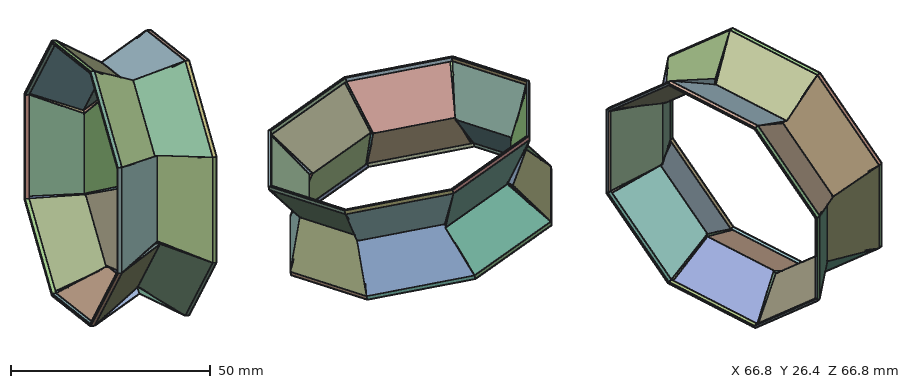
import cadquery as cq
import math

sides = 8
across_flats = 66.8
width = 26.4
rim_width = 1.1
wall = 0.6

waist_apothem = 26.4
waist_start = -13.55
waist_inner_end = 9.4
waist_outer_end = 8.9

rim_apothem = across_flats / 2
side_angle = 360.0 / sides
turn = 2 * math.pi / sides
half_angle_tan = math.tan(math.pi / sides)
slope_width = width / 2 - rim_width


def octagon(apothem):
    """Outline with flat sides facing the X and Z axes."""
    corner_radius = apothem / math.cos(math.pi / sides)
    return (
        cq.Sketch()
        .regularPolygon(corner_radius, sides)
        .moved(cq.Location(cq.Vector(), cq.Vector(0, 0, 1), side_angle / 2))
    )


def rim():
    """Mitred octagonal band at the -Y edge."""
    plane = cq.Workplane("XZ", origin=(0, -slope_width, 0))
    outer = plane.placeSketch(octagon(rim_apothem)).extrude(rim_width)
    inner = plane.placeSketch(octagon(rim_apothem - wall)).extrude(rim_width)
    return outer.cut(inner)


def sloped_panel():
    """Flat wall of the top side, from its waist out to the -Y rim."""
    waist_inner = waist_apothem - wall
    rim_inner = rim_apothem - wall
    rim_inner_half = rim_inner * half_angle_tan
    rim_outer_half = rim_apothem * half_angle_tan
    lip_position = waist_inner_end * math.cos(turn) - waist_inner * math.sin(turn)
    lip_apothem = waist_inner_end * math.sin(turn) + waist_inner * math.cos(turn)
    waist_outline = [
        (waist_start, waist_apothem),
        (lip_position, lip_apothem),
        (lip_position, waist_inner),
        (waist_inner_end, waist_inner),
        (waist_outer_end, waist_apothem),
    ]
    rim_outline = [
        (-rim_outer_half, rim_apothem),
        (-rim_inner_half, rim_inner),
        (-rim_inner_half + wall, rim_inner),
        (rim_inner_half, rim_inner),
        (rim_outer_half, rim_apothem),
    ]
    return (
        cq.Workplane("XZ")
        .polyline(waist_outline)
        .close()
        .workplane(offset=slope_width)
        .polyline(rim_outline)
        .close()
        .loft(ruled=True)
    )


half_ring = rim()
panel = sloped_panel()
for side in range(sides):
    half_ring = half_ring.union(panel.rotate((0, 0, 0), (0, 1, 0), side * side_angle))

result = half_ring.union(half_ring.mirror("XZ"))